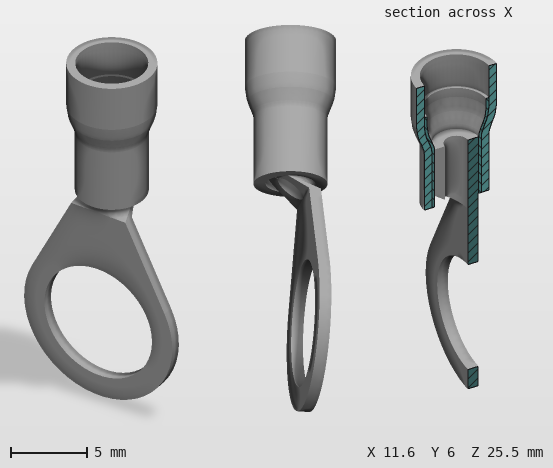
import cadquery as cq
import math

overall_height = 25.5
sleeve_bottom = 15.48
neck_bottom = 14.5

entry_diameter = 6.0
entry_bore_diameter = 4.8
grip_diameter = 4.87
entry_radius = entry_diameter / 2
grip_radius = grip_diameter / 2
sleeve_wall = (entry_diameter - entry_bore_diameter) / 2
taper_top = 22.24
taper_angle = math.radians(20.8)
upper_bend_radius = 2.8
lower_bend_radius = 1.02

collar_wall = 0.2
collar_top = 22.95

barrel_radius = grip_radius - sleeve_wall - collar_wall
stock_thickness = 0.8
bore_radius = barrel_radius - stock_thickness
seam_width = 0.08
chord_offset = 0.45
crease_offset = 0.33
neck_half_width = 2.12
ring_diameter = 11.6
ring_radius = ring_diameter / 2
eye_radius = 4.2
tongue_front = -barrel_radius
tongue_back = tongue_front + stock_thickness

bend_drop = 1 - math.cos(taper_angle)
cone_drop = entry_radius - grip_radius - (upper_bend_radius + lower_bend_radius) * bend_drop
cone_top = taper_top - upper_bend_radius * math.sin(taper_angle)
cone_bottom = cone_top - cone_drop / math.tan(taper_angle)
taper_bottom = cone_bottom - lower_bend_radius * math.sin(taper_angle)
barrel_top = taper_bottom


def tapered_solid(inset, top):
    """Solid of revolution following the sleeve outline, moved inward by inset."""
    wide = entry_radius - inset
    narrow = grip_radius - inset
    half_angle_drop = 1 - math.cos(taper_angle / 2)
    half_angle_rise = math.sin(taper_angle / 2)
    upper_middle = (
        wide - upper_bend_radius * half_angle_drop,
        taper_top - upper_bend_radius * half_angle_rise,
    )
    lower_middle = (
        narrow + lower_bend_radius * half_angle_drop,
        taper_bottom + lower_bend_radius * half_angle_rise,
    )
    return (
        cq.Workplane("XZ")
        .moveTo(0, sleeve_bottom)
        .lineTo(0, top)
        .lineTo(wide, top)
        .lineTo(wide, taper_top)
        .threePointArc(upper_middle, (wide - upper_bend_radius * bend_drop, cone_top))
        .lineTo(narrow + lower_bend_radius * bend_drop, cone_bottom)
        .threePointArc(lower_middle, (narrow, taper_bottom))
        .lineTo(narrow, sleeve_bottom)
        .close()
        .revolve(360, (0, 0, 0), (0, 1, 0))
    )


def make_sleeve():
    outside = tapered_solid(0, overall_height)
    inside = tapered_solid(sleeve_wall, overall_height)
    return outside.cut(inside)


def make_collar():
    outside = tapered_solid(sleeve_wall, collar_top)
    inside = tapered_solid(sleeve_wall + collar_wall, collar_top)
    return outside.cut(inside)


def make_barrel():
    """Round barrel whose lower end is cut off along the slope of the neck."""
    barrel = (
        cq.Workplane("XY", origin=(0, 0, sleeve_bottom))
        .circle(barrel_radius)
        .extrude(barrel_top - sleeve_bottom)
    )
    slope = (sleeve_bottom - neck_bottom) / (chord_offset - tongue_back)
    slope_end = sleeve_bottom + slope * (barrel_radius - chord_offset)
    wedge = (
        cq.Workplane("YZ")
        .polyline([
            (chord_offset, sleeve_bottom),
            (barrel_radius, sleeve_bottom),
            (barrel_radius, slope_end),
        ])
        .close()
        .extrude(barrel_radius, both=True)
    )
    return barrel.cut(wedge)


def make_neck():
    """Transition from the cut-off barrel circle to the rectangular tongue."""
    def rim_point(y):
        return math.sqrt(barrel_radius**2 - y**2), y

    chord_x, chord_y = rim_point(chord_offset)
    side_x, side_y = rim_point((chord_offset + crease_offset) / 2)
    crease_x, crease_y = rim_point(crease_offset)
    upper = (
        cq.Workplane("XY", origin=(0, 0, sleeve_bottom))
        .moveTo(-chord_x, chord_y)
        .threePointArc((-side_x, side_y), (-crease_x, crease_y))
        .threePointArc((0, -barrel_radius), (crease_x, crease_y))
        .threePointArc((side_x, side_y), (chord_x, chord_y))
        .close()
        .val()
    )
    lower = (
        cq.Workplane("XY", origin=(0, 0, neck_bottom))
        .moveTo(-neck_half_width, tongue_back)
        .lineTo(-neck_half_width, tongue_front)
        .lineTo(neck_half_width, tongue_front)
        .lineTo(neck_half_width, tongue_back)
        .close()
        .val()
    )
    return cq.Workplane(cq.Solid.makeLoft([lower, upper], True))


def make_tongue():
    """Flat ring whose sides run tangentially up to the neck."""
    neck_rise = neck_bottom - ring_radius
    neck_distance = math.hypot(neck_half_width, neck_rise)
    tangent_angle = math.atan2(neck_rise, neck_half_width) - math.acos(ring_radius / neck_distance)
    tangent_x = ring_radius * math.cos(tangent_angle)
    tangent_z = ring_radius + ring_radius * math.sin(tangent_angle)
    return (
        cq.Workplane("XZ", origin=(0, tongue_back, 0))
        .moveTo(-neck_half_width, neck_bottom)
        .lineTo(-tangent_x, tangent_z)
        .threePointArc((0, 0), (tangent_x, tangent_z))
        .lineTo(neck_half_width, neck_bottom)
        .close()
        .moveTo(0, ring_radius)
        .circle(eye_radius)
        .extrude(stock_thickness)
    )


def make_terminal():
    height = barrel_top - neck_bottom
    bore = cq.Workplane("XY", origin=(0, 0, neck_bottom)).circle(bore_radius).extrude(height)
    seam = (
        cq.Workplane("XY", origin=(0, barrel_radius / 2, neck_bottom))
        .rect(seam_width, barrel_radius)
        .extrude(height)
    )
    return make_barrel().union(make_neck()).union(make_tongue()).cut(bore).cut(seam)


sleeve = make_sleeve().solids()
collar = make_collar().solids()
terminal = make_terminal().solids()

result = cq.Compound.makeCompound([sleeve.val(), collar.val(), terminal.val()])